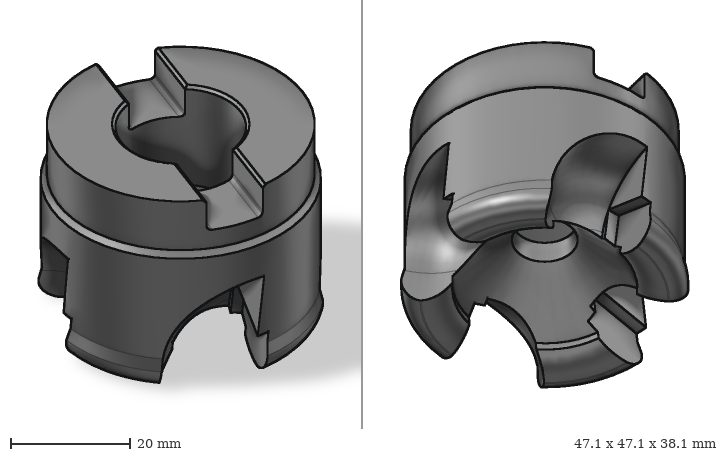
import cadquery as cq
import math

height = 38.1
body_radius = 23.55
boss_radius = 22.5
chamfer_start = 27.05
chamfer_height = body_radius - boss_radius

rim_radius = 24.1
rim_widest_z = 4.0
rim_top_z = 6.3
rim_foot_radius = 20.95
rim_corner = rim_radius - rim_foot_radius

bore_radius = 11.0
bore_chamfer = 0.55
bore_floor = 17.9
hole_radius = 5.5
recess_mouth_radius = 20.75
recess_wall_radius = 15.55
recess_round_top = 2.85
recess_round_bow = 0.55
recess_cone_start = 4.25
recess_height = 13.65

slot_width = 10.35
slot_depth = 6.25
slot_edge_chamfer = 0.55
slot_floor_fillet = 0.95

tooth_count = 4
gullet_x = 3.15
gullet_z = 4.1
gullet_outer_radius = 16.25
gullet_edge_radius = 11.8
gullet_tilt = 6.3
gullet_flat_radius = gullet_outer_radius - gullet_edge_radius
gullet_floor_y = gullet_edge_radius - body_radius

seat_depth = 2.15
seat_top = 4.25
seat_floor_y = -12.7
seat_roof_slope = 25.0

clear = 4.7


def make_body():
    arc_point = (
        rim_foot_radius + rim_corner * math.sin(math.pi / 4),
        rim_widest_z * (1 - math.cos(math.pi / 4)),
    )
    return (
        cq.Workplane("XZ")
        .lineTo(rim_foot_radius, 0)
        .threePointArc(arc_point, (rim_radius, rim_widest_z))
        .lineTo(body_radius, rim_top_z)
        .lineTo(body_radius, chamfer_start)
        .lineTo(boss_radius, chamfer_start + chamfer_height)
        .lineTo(boss_radius, height)
        .lineTo(0, height)
        .close()
        .revolve(360, (0, 0), (0, 1))
    )


def make_bore():
    run = recess_mouth_radius - recess_wall_radius
    chord = math.hypot(run, recess_round_top)
    arc_point = (
        recess_mouth_radius - run / 2 - recess_round_bow * recess_round_top / chord,
        recess_round_top / 2 - recess_round_bow * run / chord,
    )
    return (
        cq.Workplane("XZ")
        .lineTo(recess_mouth_radius, 0)
        .threePointArc(arc_point, (recess_wall_radius, recess_round_top))
        .lineTo(recess_wall_radius, recess_cone_start)
        .lineTo(hole_radius, recess_height)
        .lineTo(hole_radius, bore_floor)
        .lineTo(bore_radius, bore_floor)
        .lineTo(bore_radius, height - bore_chamfer)
        .lineTo(bore_radius + bore_chamfer, height)
        .lineTo(0, height)
        .close()
        .revolve(360, (0, 0), (0, 1))
    )


def make_slot():
    length = 2 * (body_radius + clear)
    floor_z = height - slot_depth
    slot = (
        cq.Workplane("XY")
        .box(length, slot_width, slot_depth, centered=(True, True, False))
        .edges("|X and <Z")
        .fillet(slot_floor_fillet)
        .translate((0, 0, floor_z))
    )
    half_width = slot_width / 2
    half_mouth = half_width + slot_edge_chamfer
    mouth = (
        cq.Workplane("YZ", origin=(-length / 2, 0, 0))
        .moveTo(-half_width, height - slot_edge_chamfer)
        .lineTo(half_width, height - slot_edge_chamfer)
        .lineTo(half_mouth, height)
        .lineTo(-half_mouth, height)
        .close()
        .extrude(length)
    )
    return slot.union(mouth)


def gullet_profile():
    """Half section, from the bend axis (local X = 0) out to the rounded edge."""
    arc_point = (
        -gullet_flat_radius - gullet_edge_radius * math.sin(math.pi / 4),
        -body_radius + gullet_edge_radius * math.cos(math.pi / 4),
    )
    return (
        cq.Workplane("XY")
        .moveTo(0, gullet_floor_y)
        .lineTo(-gullet_flat_radius, gullet_floor_y)
        .threePointArc(arc_point, (-gullet_outer_radius, -body_radius))
        .lineTo(-gullet_outer_radius, -body_radius - clear)
        .lineTo(0, -body_radius - clear)
        .close()
    )


def make_gullet():
    """Gullet on the -Y side, with the cutting face on its +X side."""
    bend = gullet_profile().revolve(90, (0, 0), (0, 1))
    run_out = gullet_profile().extrude(-gullet_z - clear)
    slope = math.tan(math.radians(seat_roof_slope))
    outer_y = -body_radius - clear
    outer_roof = seat_top - clear * slope
    inner_roof = seat_top + (body_radius + seat_floor_y) * slope
    seat = (
        cq.Workplane("YZ")
        .moveTo(seat_floor_y, -gullet_z - clear)
        .lineTo(seat_floor_y, inner_roof)
        .lineTo(outer_y, outer_roof)
        .lineTo(outer_y, -gullet_z - clear)
        .close()
        .extrude(seat_depth)
    )
    gullet = bend.union(run_out).union(seat)
    return gullet.rotate((0, 0, 0), (0, 1, 0), gullet_tilt).translate((gullet_x, 0, gullet_z))


result = make_body().cut(make_bore()).cut(make_slot())
gullet = make_gullet()
for tooth in range(tooth_count):
    result = result.cut(gullet.rotate((0, 0, 0), (0, 0, 1), tooth * 360 / tooth_count))